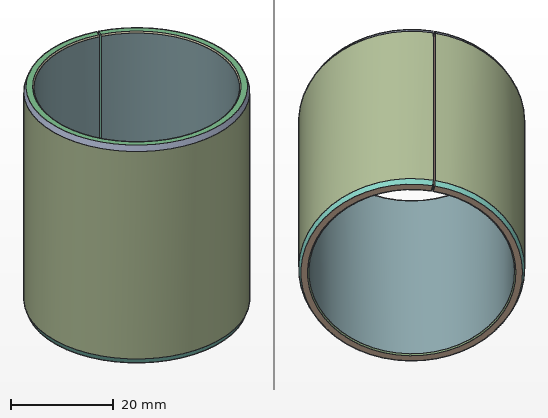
import cadquery as cq

length = 50.0
outer_radius = 22.0
wall = 2.0
inner_radius = outer_radius - wall

outer_chamfer_height = 1.2
outer_chamfer_depth = 0.45
inner_chamfer = 0.28

seam_angle = 1.0
seam_start_angle = 180.0


def wall_section():
    """Closed wall profile in the XZ plane, chamfered at all four corners."""
    section = [
        (inner_radius + inner_chamfer, 0),
        (outer_radius - outer_chamfer_depth, 0),
        (outer_radius, outer_chamfer_height),
        (outer_radius, length - outer_chamfer_height),
        (outer_radius - outer_chamfer_depth, length),
        (inner_radius + inner_chamfer, length),
        (inner_radius, length - inner_chamfer),
        (inner_radius, inner_chamfer),
    ]
    return cq.Workplane("XZ").polyline(section).close()


def split_bushing():
    """Sweep the wall almost all the way round Z, leaving the seam open."""
    sleeve = wall_section().revolve(360 - seam_angle, (0, 0), (0, 1))
    return sleeve.rotate((0, 0, 0), (0, 0, 1), seam_start_angle)


result = split_bushing()